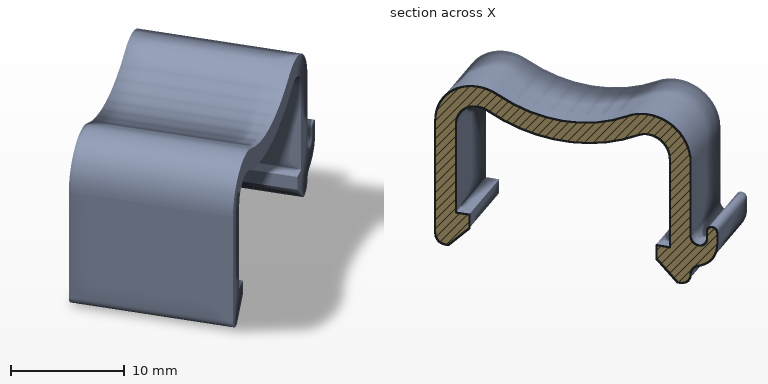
import cadquery as cq
import math

length = 15.0
body_width = 24.0
body_height = 16.0
wall = 2.0
shoulder_radius = 4.0
saddle_depth = 2.0

ledge_width = 1.25
lip_height = 1.35
lead_in = 2.0
foot_radius = 1.0

hook_thickness = 1.0
hook_gap = 1.5
hook_top = 6.0
hook_gap_bottom = 4.0
hook_outer_radius = 2.5
hook_root_radius = 1.0

outer_y = body_width / 2
inner_y = outer_y - wall
ledge_y = inner_y - ledge_width
ledge_z = lead_in + lip_height
shoulder_y = outer_y - shoulder_radius
shoulder_z = body_height - shoulder_radius
inner_shoulder_radius = shoulder_radius - wall

saddle_radius = (shoulder_y**2 + saddle_depth**2 - 2 * shoulder_radius * saddle_depth) / (2 * saddle_depth)
saddle_top_z = body_height - saddle_depth
saddle_center_z = saddle_top_z + saddle_radius
tangent_angle = math.atan2(saddle_center_z - shoulder_z, -shoulder_y)


def on_circle(center_y, center_z, radius, angle):
    """Point on a circle in the YZ plane, angle measured from +Y."""
    return center_y + radius * math.cos(angle), center_z + radius * math.sin(angle)


def mirrored(point):
    """Point reflected across the XZ plane."""
    return -point[0], point[1]


def shoulder_point(radius, angle):
    return on_circle(shoulder_y, shoulder_z, radius, angle)


def make_body():
    """Constant-thickness bent strip with a snap foot at each end."""
    shoulder_mid_angle = tangent_angle / 2
    outer_mid = shoulder_point(shoulder_radius, shoulder_mid_angle)
    outer_tangent = shoulder_point(shoulder_radius, tangent_angle)
    inner_mid = shoulder_point(inner_shoulder_radius, shoulder_mid_angle)
    inner_tangent = shoulder_point(inner_shoulder_radius, tangent_angle)
    foot_y = outer_y - foot_radius
    foot_mid = on_circle(foot_y, foot_radius, foot_radius, -math.pi / 4)

    profile = (
        cq.Workplane("YZ")
        .moveTo(foot_y, 0)
        .threePointArc(foot_mid, (outer_y, foot_radius))
        .lineTo(outer_y, shoulder_z)
        .threePointArc(outer_mid, outer_tangent)
        .threePointArc((0, saddle_top_z), mirrored(outer_tangent))
        .threePointArc(mirrored(outer_mid), (-outer_y, shoulder_z))
        .lineTo(-outer_y, foot_radius)
        .threePointArc(mirrored(foot_mid), (-foot_y, 0))
        .lineTo(-ledge_y - lead_in, 0)
        .lineTo(-ledge_y, lead_in)
        .lineTo(-ledge_y, ledge_z)
        .lineTo(-inner_y, ledge_z)
        .lineTo(-inner_y, shoulder_z)
        .threePointArc(mirrored(inner_mid), mirrored(inner_tangent))
        .threePointArc((0, saddle_top_z - wall), inner_tangent)
        .threePointArc(inner_mid, (inner_y, shoulder_z))
        .lineTo(inner_y, ledge_z)
        .lineTo(ledge_y, ledge_z)
        .lineTo(ledge_y, lead_in)
        .lineTo(ledge_y + lead_in, 0)
        .close()
    )
    return profile.extrude(length / 2, both=True)


def make_hook():
    """J-shaped hook whose underside blends into the leg just above the foot."""
    hook_inner_y = outer_y + hook_gap
    hook_outer_y = hook_inner_y + hook_thickness
    gap_radius = hook_gap / 2
    gap_center_z = hook_gap_bottom + gap_radius
    tip_radius = hook_thickness / 2
    tip_y = hook_inner_y + tip_radius

    root_y = outer_y + hook_root_radius
    root_z = foot_radius
    bend_y = hook_outer_y - hook_outer_radius
    center_distance = hook_outer_radius + hook_root_radius
    bend_z = root_z + math.sqrt(center_distance**2 - (root_y - bend_y) ** 2)
    blend_angle = math.atan2(bend_z - root_z, bend_y - root_y)
    blend_point = on_circle(root_y, root_z, hook_root_radius, blend_angle)
    root_mid = on_circle(root_y, root_z, hook_root_radius, (blend_angle + math.pi) / 2)
    bend_mid = on_circle(bend_y, bend_z, hook_outer_radius, (blend_angle - math.pi) / 2)

    overlap_y = outer_y - wall / 2
    profile = (
        cq.Workplane("YZ")
        .moveTo(overlap_y, root_z)
        .lineTo(outer_y, root_z)
        .threePointArc(root_mid, blend_point)
        .threePointArc(bend_mid, (hook_outer_y, bend_z))
        .lineTo(hook_outer_y, hook_top - tip_radius)
        .threePointArc((tip_y, hook_top), (hook_inner_y, hook_top - tip_radius))
        .lineTo(hook_inner_y, gap_center_z)
        .threePointArc((outer_y + gap_radius, hook_gap_bottom), (outer_y, gap_center_z))
        .lineTo(overlap_y, gap_center_z)
        .close()
    )
    return profile.extrude(length / 2, both=True)


result = make_body().union(make_hook())